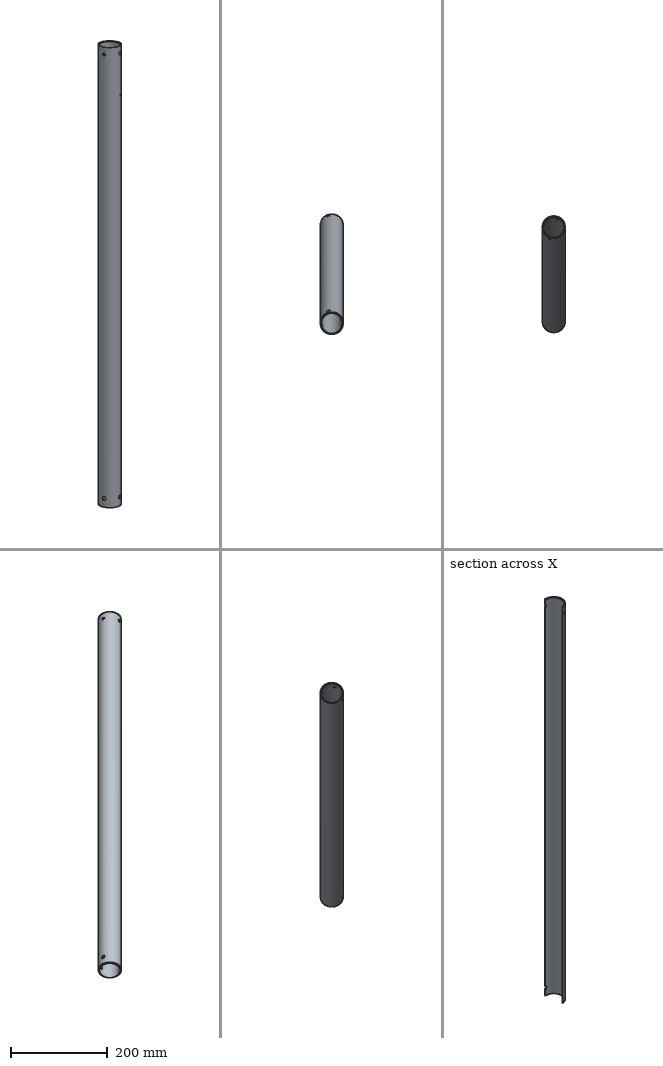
import cadquery as cq

length = 1000.0
outer_diameter = 48.3
wall = 3.2
inner_diameter = outer_diameter - 2 * wall

bottom_chamfer = 1.5
top_bore_chamfer = 1.5

bottom_hole_diameter = 8.0
bottom_hole_height = 20.0
bottom_hole_angles = (-90, 0)

top_hole_diameter = 6.0
top_hole_height = length - 16.0
top_hole_angles = (-90, 0, 90)


def make_tube():
    """Plain tube with a chamfered bottom end and a chamfered bore at the top."""
    body = cq.Workplane("XY").circle(outer_diameter / 2).extrude(length)
    body = body.faces("<Z").chamfer(bottom_chamfer)
    bore = cq.Workplane("XY").circle(inner_diameter / 2).extrude(length)
    tube = body.cut(bore)
    bore_edge = cq.selectors.RadiusNthSelector(0)
    return tube.faces(">Z").edges(bore_edge).chamfer(top_bore_chamfer)


def radial_hole(diameter, height, angle):
    """Cutter running from the tube axis outward through one wall."""
    cutter = cq.Workplane("YZ").center(0, height).circle(diameter / 2).extrude(outer_diameter)
    return cutter.rotate((0, 0, 0), (0, 0, 1), angle)


def drill_ring(tube, diameter, height, angles):
    for angle in angles:
        tube = tube.cut(radial_hole(diameter, height, angle))
    return tube


result = make_tube()
result = drill_ring(result, bottom_hole_diameter, bottom_hole_height, bottom_hole_angles)
result = drill_ring(result, top_hole_diameter, top_hole_height, top_hole_angles)